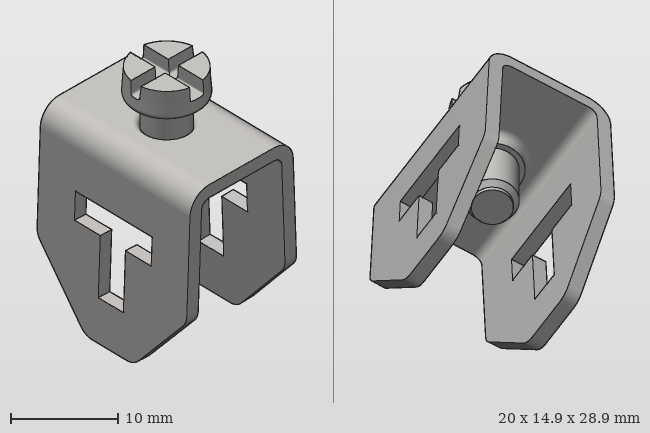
import cadquery as cq
import math


overall_height = 28.9

clamp_width = 20.0
clamp_height = 22.57
sheet = 1.5
crown_span = 8.4
bend_outer_radius = 2.5
bend_inner_radius = bend_outer_radius - sheet
leg_splay = math.radians(2.1)

bend_end_depth = bend_outer_radius * (1 - math.sin(leg_splay))
leg_length = (clamp_height - bend_end_depth - sheet * math.sin(leg_splay)) / math.cos(leg_splay)
shoulder_drop = 12.02
foot_width = 6.47
leg_corner_radius = 2.0

window_drop = 4.77
bar_width = 10.23
bar_height = 3.27
stem_width = 3.35
stem_height = 7.0

shank_radius = 2.5
tip_radius = 1.97
shank_end_z = -8.0
tip_length = 0.45
tip_end_z = shank_end_z - (shank_radius - tip_radius) - tip_length
head_radius = 4.25
head_top_radius = 4.05
head_bottom_z = 3.03
head_top_z = overall_height - clamp_height
head_edge_radius = 0.58

slot_depth = 1.6
wide_slot_width = 1.73
wide_slot_floor_radius = 0.17
narrow_slot_width = 1.35
narrow_slot_floor_width = 1.1
narrow_slot_floor_radius = 0.25

collar_radius = 3.05
collar_bottom_z = -3.0
collar_round = 0.66


def make_crown():
    """Flat crown with a bend on each side, ending where the legs begin."""
    half_span = crown_span / 2
    bend_center_z = -bend_outer_radius

    def bend_point(radius, angle, side):
        return (side * (half_span + radius * math.cos(angle)), bend_center_z + radius * math.sin(angle))

    bend_middle = (math.pi / 2 + leg_splay) / 2
    return (
        cq.Workplane("YZ", origin=(-clamp_width / 2, 0, 0))
        .moveTo(-half_span, 0)
        .lineTo(half_span, 0)
        .threePointArc(
            bend_point(bend_outer_radius, bend_middle, 1),
            bend_point(bend_outer_radius, leg_splay, 1),
        )
        .lineTo(*bend_point(bend_inner_radius, leg_splay, 1))
        .threePointArc(bend_point(bend_inner_radius, bend_middle, 1), (half_span, -sheet))
        .lineTo(-half_span, -sheet)
        .threePointArc(
            bend_point(bend_inner_radius, bend_middle, -1),
            bend_point(bend_inner_radius, leg_splay, -1),
        )
        .lineTo(*bend_point(bend_outer_radius, leg_splay, -1))
        .threePointArc(bend_point(bend_outer_radius, bend_middle, -1), (-half_span, 0))
        .close()
        .extrude(clamp_width)
    )


def make_leg():
    """Leg on the +Y side: a tapered plate with rounded corners and a T-shaped window."""
    bend_end_y = crown_span / 2 + bend_outer_radius * math.cos(leg_splay)
    outer_face = cq.Plane(
        origin=(0, bend_end_y, -bend_end_depth),
        xDir=(1, 0, 0),
        normal=(0, math.cos(leg_splay), math.sin(leg_splay)),
    )
    plate = (
        cq.Workplane(outer_face)
        .moveTo(-clamp_width / 2, 0)
        .lineTo(clamp_width / 2, 0)
        .lineTo(clamp_width / 2, shoulder_drop)
        .lineTo(foot_width / 2, leg_length)
        .lineTo(-foot_width / 2, leg_length)
        .lineTo(-clamp_width / 2, shoulder_drop)
        .close()
        .extrude(-sheet)
    )
    across_sheet = cq.selectors.ParallelDirSelector(outer_face.zDir)
    lower_corners = cq.selectors.BoxSelector(
        (-clamp_width, 0, -bend_end_depth - shoulder_drop / 2),
        (clamp_width, clamp_width, -2 * clamp_height),
    )
    plate = plate.edges(across_sheet).edges(lower_corners).fillet(leg_corner_radius)

    bar = (
        cq.Workplane(outer_face)
        .center(0, window_drop + bar_height / 2)
        .rect(bar_width, bar_height)
        .extrude(-sheet)
    )
    stem = (
        cq.Workplane(outer_face)
        .center(0, window_drop + bar_height + stem_height / 2)
        .rect(stem_width, stem_height)
        .extrude(-sheet)
    )
    return plate.cut(bar).cut(stem)


def make_collar():
    """Collar under the crown, joined to it by a concave round."""
    flare_center = (collar_radius + collar_round, -sheet - collar_round)
    diagonal = collar_round * math.sqrt(0.5)
    return (
        cq.Workplane("XZ")
        .moveTo(0, collar_bottom_z)
        .lineTo(collar_radius, collar_bottom_z)
        .lineTo(collar_radius, flare_center[1])
        .threePointArc(
            (flare_center[0] - diagonal, flare_center[1] + diagonal),
            (flare_center[0], -sheet),
        )
        .lineTo(0, -sheet)
        .close()
        .revolve(360, (0, 0, 0), (0, 1, 0))
    )


def make_screw_hole():
    """Cutter for the screw hole, whose mouth in the crown is rounded outwards."""
    mouth_radius = shank_radius + collar_round
    diagonal = collar_round * math.sqrt(0.5)
    return (
        cq.Workplane("XZ")
        .moveTo(0, collar_bottom_z)
        .lineTo(shank_radius, collar_bottom_z)
        .lineTo(shank_radius, -collar_round)
        .threePointArc((mouth_radius - diagonal, diagonal - collar_round), (mouth_radius, 0))
        .lineTo(0, 0)
        .close()
        .revolve(360, (0, 0, 0), (0, 1, 0))
    )


def make_clamp():
    clamp = make_crown()
    for turn in (0, 180):
        clamp = clamp.union(make_leg().rotate((0, 0, 0), (0, 0, 1), turn))
    return clamp.union(make_collar()).cut(make_screw_hole())


def make_head_slot(plane, top_width, floor_width, floor_radius):
    """Cutter for one slot across the whole head, with rounded floor corners."""
    return (
        cq.Workplane(plane)
        .moveTo(-top_width / 2, head_top_z)
        .lineTo(-floor_width / 2, head_top_z - slot_depth)
        .lineTo(floor_width / 2, head_top_z - slot_depth)
        .lineTo(top_width / 2, head_top_z)
        .close()
        .extrude(head_radius, both=True)
        .faces("<Z")
        .edges(cq.selectors.ParallelDirSelector(cq.Plane.named(plane).zDir))
        .fillet(floor_radius)
    )


def make_screw():
    body = (
        cq.Workplane("XZ")
        .moveTo(0, tip_end_z)
        .lineTo(tip_radius, tip_end_z)
        .lineTo(tip_radius, tip_end_z + tip_length)
        .lineTo(shank_radius, shank_end_z)
        .lineTo(shank_radius, head_bottom_z)
        .lineTo(0, head_bottom_z)
        .close()
        .revolve(360, (0, 0, 0), (0, 1, 0))
    )
    head = (
        cq.Workplane("XZ")
        .moveTo(0, head_bottom_z)
        .lineTo(head_radius, head_bottom_z)
        .lineTo(head_top_radius, head_top_z)
        .lineTo(0, head_top_z)
        .close()
        .revolve(360, (0, 0, 0), (0, 1, 0))
        .edges("<Z")
        .fillet(head_edge_radius)
    )
    wide_slot = make_head_slot("YZ", wide_slot_width, wide_slot_width, wide_slot_floor_radius)
    narrow_slot = make_head_slot(
        "XZ", narrow_slot_width, narrow_slot_floor_width, narrow_slot_floor_radius
    )
    return body.union(head).cut(wide_slot).cut(narrow_slot)


clamp = make_clamp()
screw = make_screw()
result = cq.Compound.makeCompound([clamp.val(), screw.val()])